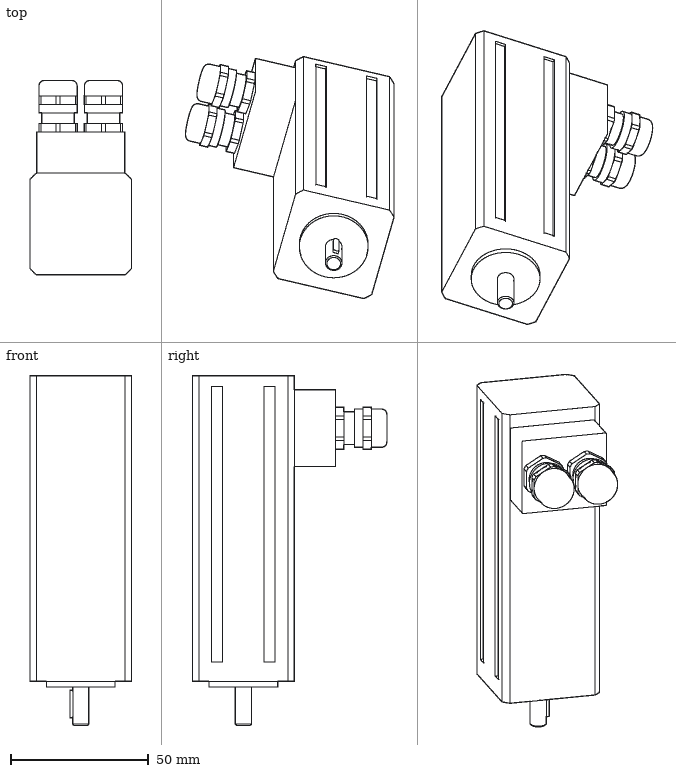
import cadquery as cq
import math


total_height = 127.0
total_depth = 70.6

housing_width = 37.0
pilot_diameter = 25.0
pilot_height = 2.0
shaft_diameter = 6.0
shaft_reach = 16.0
shaft_chamfer = 0.5
corner_diameter = 49.0
housing_height = total_height - shaft_reach

groove_width = 4.0
groove_length = 100.0
groove_depth = 1.0
groove_offset = 9.5
groove_bottom = 7.1

key_width = 2.0
key_height = 2.0
key_length = 10.0
key_reach = 4.0
key_gap = 1.1

box_width = 32.0
box_depth = 15.0
box_height = 28.0
box_edge_radius = 0.5
box_top_gap = 5.1
box_center_z = housing_height - box_top_gap - box_height / 2

gland_spacing = 16.5
gland_diameter = 14.0
gland_neck_diameter = 12.0
hex_sides = 6
hex_across_flats = 14.0
hex_corner_diameter = 15.4
hex_thickness = 3.0
neck_length = 3.8
sleeve_length = 3.0
cap_radius = 2.0

box_start_y = housing_width / 2
gland_start_y = box_start_y + box_depth
gland_length = total_depth - housing_width - box_depth


def make_key():
    """Key standing out of the shaft on the -X side."""
    center_z = -pilot_height - key_gap - key_length / 2
    return (
        cq.Workplane("YZ", origin=(-key_reach, 0, center_z))
        .slot2D(key_length, key_width, 90)
        .extrude(key_height)
    )


def cut_side_grooves(housing):
    """Cut two grooves into each of the -X and +X sides."""
    for side in (-1, 1):
        for row in (-1, 1):
            groove = cq.Workplane("XY").box(
                2 * groove_depth, groove_width, groove_length, centered=(True, True, False)
            )
            place = (side * housing_width / 2, row * groove_offset, groove_bottom)
            housing = housing.cut(groove.translate(place))
    return housing


def make_housing(key):
    """Motor housing with its pilot and shaft, and a keyway that fits the key."""
    square_bar = cq.Workplane("XY").rect(housing_width, housing_width).extrude(housing_height)
    corner_limit = cq.Workplane("XY").circle(corner_diameter / 2).extrude(housing_height)
    housing = square_bar.intersect(corner_limit)
    housing = cut_side_grooves(housing)
    pilot = cq.Workplane("XY").circle(pilot_diameter / 2).extrude(-pilot_height)
    shaft = (
        cq.Workplane("XY")
        .circle(shaft_diameter / 2)
        .extrude(-shaft_reach)
        .faces("<Z")
        .chamfer(shaft_chamfer)
    )
    return housing.union(pilot).union(shaft).cut(key)


def make_terminal_box():
    """Box on the back of the housing, its four Y-direction edges rounded."""
    center_y = box_start_y + box_depth / 2
    return (
        cq.Workplane("XY", origin=(0, center_y, box_center_z))
        .box(box_width, box_depth, box_height)
        .edges("|Y")
        .fillet(box_edge_radius)
    )


def make_hexagon(start):
    """Hexagon along +Z from the given height, flats facing +/-X, corners turned round."""
    plane = cq.Workplane("XY").workplane(offset=start)
    half_side_angle = 180 / hex_sides
    across_corners = hex_across_flats / math.cos(math.radians(half_side_angle))
    turned_plane = plane.transformed(rotate=(0, 0, half_side_angle))
    hexagon = turned_plane.polygon(hex_sides, across_corners).extrude(hex_thickness)
    corner_limit = plane.circle(hex_corner_diameter / 2).extrude(hex_thickness)
    return hexagon.intersect(corner_limit)


def make_gland(center_x):
    """Cable gland: base hexagon, neck, and a round cap carrying a second hexagon."""
    cap_start = hex_thickness + neck_length
    neck = cq.Workplane("XY").circle(gland_neck_diameter / 2).extrude(cap_start)
    cap = (
        cq.Workplane("XY")
        .workplane(offset=cap_start)
        .circle(gland_diameter / 2)
        .extrude(gland_length - cap_start)
        .faces(">Z")
        .edges()
        .fillet(cap_radius)
    )
    gland = neck.union(cap).union(make_hexagon(0)).union(make_hexagon(cap_start + sleeve_length))
    gland = gland.rotate((0, 0, 0), (1, 0, 0), -90)
    return gland.translate((center_x, gland_start_y, box_center_z))


key = make_key()
housing = make_housing(key)
terminal_box = make_terminal_box()
glands = [make_gland(side * gland_spacing / 2) for side in (-1, 1)]

bodies = [housing, key, terminal_box, *glands]
result = cq.Compound.makeCompound([body.solids().val() for body in bodies])